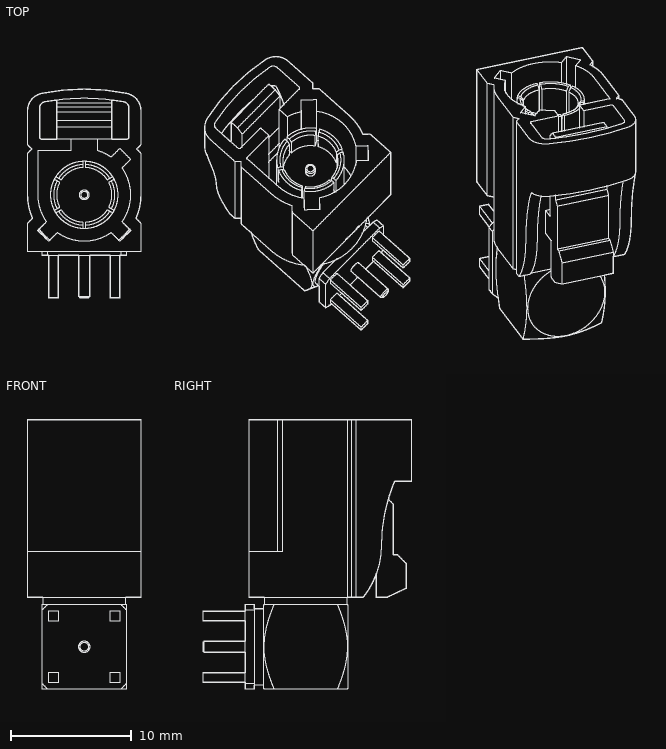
import cadquery as cq
import math


cube_size = 7.0
cube_half = cube_size / 2
cube_face_radius = 3.43
cube_chamfer_angle = 30
neck_radius = 3.43
spacer_radius = 3.17
plate_back_y = -4.25
plate_front_y = -5.02
plate_corner_chamfer = 0.47
pin_end_y = -8.51
leg_size = 0.8
leg_offset = 2.55
signal_pin_radius = 0.47
signal_pin_chamfer = 0.11

housing_half_width = 4.7
housing_bottom_z = 7.58
housing_top_z = 22.3
block_bottom_z = 11.37
back_y = 8.75
back_bow_radius = 17.39
back_corner_radius = 1.5
side_groove_y = 3.8
side_groove_depth = 0.35
block_notch_y = -1.95
flank_top_z = 17.19
flank_knee_y = 6.26
flank_knee_z = 11.88
flank_upper_radius = 13.37
flank_lower_radius = 6.87

window_half_width = 3.68
window_front_y = 4.61
window_back_y = 8.0
window_back_radius = 0.5
window_front_radius = 0.15

cavity_radius = 3.83
cavity_floor_z = block_bottom_z
corner_pocket_y = 3.65
latch_slot_width = 2.23
key_width = 1.27
key_reach = 4.8
key_angles = (45, 225, 315)

tube_outer_radius = 2.79
tube_rim_radius = 2.52
tube_inner_radius = 2.27
tube_top_z = 21.0
tube_floor_z = 17.95
rim_chamfer_width = tube_rim_radius - tube_inner_radius
rim_chamfer_depth = 0.33
tube_slot_count = 6
tube_slot_width = 0.25
contact_radius = 0.4
contact_top_z = 18.72
contact_chamfer = 0.11

latch_width = 4.57
latch_top_z = 21.75
latch_top_chamfer = 0.53
latch_root_y = 5.6
latch_tip_inner_y = 5.82
latch_outer_y = 6.87
latch_pad_y = 7.25
latch_pad_top_z = 15.67
hook_top_z = 11.12
hook_start_y = 7.58
hook_y = 8.31
hook_bottom_z = 8.34
hook_toe_y = 6.7
bridge_top_z = 13.37
bridge_bottom_z = 11.15


def box(x_range, y_range, z_range):
    """Axis-aligned box from its low and high limits."""
    size = [high - low for low, high in (x_range, y_range, z_range)]
    return cq.Workplane("XY").box(*size, centered=False).translate((x_range[0], y_range[0], z_range[0]))


def cylinder_z(radius, bottom, top):
    return cq.Workplane("XY").workplane(offset=bottom).circle(radius).extrude(top - bottom)


def cylinder_y(radius, front, back):
    """Cylinder on the elbow's horizontal axis, from the lower to the higher Y."""
    plane = cq.Workplane("XZ", origin=(0, back, cube_half))
    return plane.circle(radius).extrude(back - front)


def prism(half_width, outline_yz):
    """Outline in the YZ plane, extruded symmetrically along X."""
    return cq.Workplane("YZ").polyline(outline_yz).close().extrude(half_width, both=True)


def bow_y(crown_y, bow_radius, x):
    """Y of a bowed back face at a distance x from its crown."""
    return crown_y - bow_radius + math.sqrt(bow_radius**2 - x**2)


def make_elbow():
    cube = cq.Workplane("XY").box(cube_size, cube_size, cube_size).translate((0, 0, cube_half))
    corner_radius = cube_size
    cone_length = (corner_radius - cube_face_radius) * math.tan(math.radians(cube_chamfer_angle))
    turned = (
        cq.Workplane("XY")
        .polyline([
            (0, -cube_half),
            (cube_face_radius, -cube_half),
            (corner_radius, cone_length - cube_half),
            (corner_radius, cube_half - cone_length),
            (cube_face_radius, cube_half),
            (0, cube_half),
        ])
        .close()
        .revolve(360, (0, 0, 0), (0, 1, 0))
        .translate((0, 0, cube_half))
    )
    neck = cylinder_z(neck_radius, cube_half, housing_bottom_z)
    return cube.intersect(turned).union(neck)


def make_board_mount():
    plate = box((-cube_half, cube_half), (plate_front_y, plate_back_y), (0, cube_size))
    mount = plate.edges("|Y").chamfer(plate_corner_chamfer)
    mount = mount.union(cylinder_y(spacer_radius, plate_back_y, -cube_half))
    signal_pin = cylinder_y(signal_pin_radius, pin_end_y, plate_front_y)
    mount = mount.union(signal_pin.faces("<Y").chamfer(signal_pin_chamfer))
    leg_length = plate_front_y - pin_end_y
    legs = (
        cq.Workplane("XZ", origin=(0, plate_front_y, cube_half))
        .rect(2 * leg_offset, 2 * leg_offset, forConstruction=True)
        .vertices()
        .rect(leg_size, leg_size)
        .extrude(leg_length)
    )
    return mount.union(legs)


def make_housing_shell():
    width = housing_half_width
    height = housing_top_z - housing_bottom_z
    edge_y = bow_y(back_y, back_bow_radius, width)
    rear = (
        cq.Workplane("XY", origin=(0, 0, housing_bottom_z))
        .moveTo(-width, 0)
        .lineTo(width, 0)
        .lineTo(width, edge_y)
        .threePointArc((0, back_y), (-width, edge_y))
        .close()
        .extrude(height)
        .edges("|Z")
        .edges(">Y")
        .fillet(back_corner_radius)
    )
    barrel = cylinder_z(width, housing_bottom_z, housing_top_z)
    step_x = math.sqrt(width**2 - block_notch_y**2)
    step_y = block_notch_y - (width - step_x)
    block = (
        cq.Workplane("XY", origin=(0, 0, block_bottom_z))
        .polyline([
            (-step_x, block_notch_y),
            (-width, step_y),
            (-width, -width),
            (width, -width),
            (width, step_y),
            (step_x, block_notch_y),
        ])
        .close()
        .extrude(housing_top_z - block_bottom_z)
    )
    shell = rear.union(barrel).union(block)
    for side in (-1, 1):
        groove = (
            cq.Workplane("XY", origin=(0, 0, housing_bottom_z))
            .polyline([
                (side * width, side_groove_y - side_groove_depth),
                (side * (width - side_groove_depth), side_groove_y),
                (side * width, side_groove_y + side_groove_depth),
            ])
            .close()
            .extrude(height)
        )
        shell = shell.cut(groove)
    return shell


def make_flank_cut():
    """Space behind the S-shaped rear flank, below the full-depth bridge at the top."""
    def upper_y(z):
        rise = z - flank_knee_z
        return flank_knee_y + flank_upper_radius - math.sqrt(flank_upper_radius**2 - rise**2)

    def lower_y(z):
        drop = flank_knee_z - z
        return flank_knee_y - flank_lower_radius + math.sqrt(flank_lower_radius**2 - drop**2)

    upper_mid_z = (flank_top_z + flank_knee_z) / 2
    lower_mid_z = (housing_bottom_z + flank_knee_z) / 2
    clear_y = back_y + 0.22
    return (
        cq.Workplane("YZ")
        .moveTo(clear_y, flank_top_z)
        .lineTo(upper_y(flank_top_z), flank_top_z)
        .threePointArc((upper_y(upper_mid_z), upper_mid_z), (flank_knee_y, flank_knee_z))
        .threePointArc((lower_y(lower_mid_z), lower_mid_z), (lower_y(housing_bottom_z), housing_bottom_z))
        .lineTo(clear_y, housing_bottom_z)
        .close()
        .extrude(housing_half_width, both=True)
    )


def make_window():
    edge_y = bow_y(window_back_y, back_bow_radius, window_half_width)
    return (
        cq.Workplane("XY", origin=(0, 0, housing_bottom_z))
        .moveTo(-window_half_width, window_front_y)
        .lineTo(window_half_width, window_front_y)
        .lineTo(window_half_width, edge_y)
        .threePointArc((0, window_back_y), (-window_half_width, edge_y))
        .close()
        .extrude(housing_top_z - housing_bottom_z)
        .edges("|Z")
        .edges(">Y")
        .fillet(window_back_radius)
        .edges("|Z")
        .edges("<Y")
        .fillet(window_front_radius)
    )


def make_cavity():
    depth = (cavity_floor_z, housing_top_z)
    cavity = cylinder_z(cavity_radius, *depth)
    cavity = cavity.union(box((-cavity_radius, 0), (0, corner_pocket_y), depth))
    slot_half = latch_slot_width / 2
    cavity = cavity.union(box((-slot_half, slot_half), (0, window_front_y), depth))
    key = box((0, key_reach), (-key_width / 2, key_width / 2), depth)
    for angle in key_angles:
        cavity = cavity.union(key.rotate((0, 0, 0), (0, 0, 1), angle))
    return cavity


def make_contact():
    tube = cylinder_z(tube_outer_radius, cavity_floor_z, tube_top_z)
    tube = tube.cut(cylinder_z(tube_inner_radius, tube_floor_z, tube_top_z))
    bore_rim = tube.faces(">Z").edges(cq.selectors.RadiusNthSelector(0))
    tube = bore_rim.chamfer(rim_chamfer_width, rim_chamfer_depth)
    slot_half = tube_slot_width / 2
    slot = box((0, tube_outer_radius), (-slot_half, slot_half), (tube_floor_z, tube_top_z))
    for index in range(tube_slot_count):
        angle = 90 + index * 360 / tube_slot_count
        tube = tube.cut(slot.rotate((0, 0, 0), (0, 0, 1), angle))
    pin = cylinder_z(contact_radius, tube_floor_z, contact_top_z)
    return tube.union(pin.faces(">Z").chamfer(contact_chamfer))


def make_latch():
    pad_step = latch_pad_y - latch_outer_y
    hook_slope = hook_y - hook_start_y
    return prism(latch_width / 2, [
        (latch_root_y + latch_top_chamfer, latch_top_z),
        (latch_outer_y, latch_top_z),
        (latch_outer_y, latch_pad_top_z),
        (latch_pad_y, latch_pad_top_z - pad_step),
        (latch_pad_y, hook_top_z),
        (hook_start_y, hook_top_z),
        (hook_y, hook_top_z - hook_slope),
        (hook_y, hook_bottom_z),
        (hook_toe_y, housing_bottom_z),
        (latch_tip_inner_y, housing_bottom_z),
        (latch_tip_inner_y, bridge_bottom_z),
        (window_front_y, bridge_bottom_z),
        (window_front_y, bridge_top_z),
        (latch_root_y, bridge_top_z),
        (latch_root_y, latch_top_z - latch_top_chamfer),
    ])


housing = make_housing_shell().cut(make_flank_cut()).cut(make_window()).cut(make_cavity())
result = (
    housing.union(make_latch())
    .union(make_contact())
    .union(make_elbow())
    .union(make_board_mount())
)